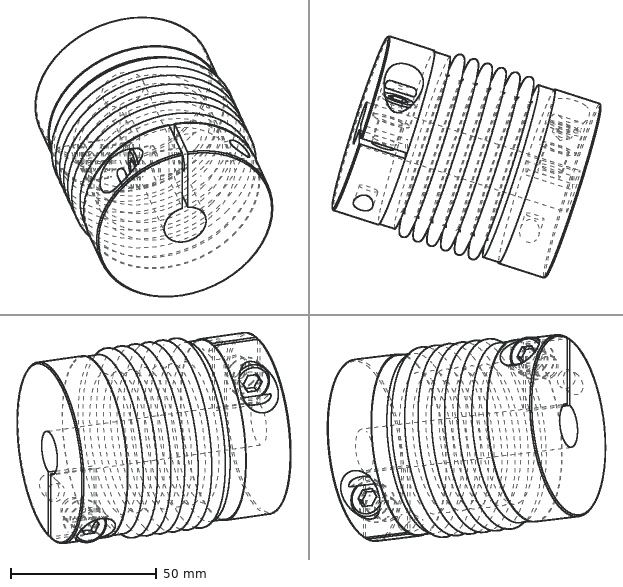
import cadquery as cq
import math

total_length = 77.0
bore_diameter = 15.0

hub_diameter = 63.0
hub_length = 16.7
hub_chamfer = 0.5
ring_diameter = 62.3

convolution_count = 6
convolution_diameter = 66.0
convolution_width = 3.0
root_diameter = 49.1
root_width = 2.0
bellows_length = convolution_count * convolution_width + (convolution_count + 1) * root_width

slot_width = 2.0
screw_end_distance = 8.5
screw_height = 22.0
head_diameter = 13.0
head_length = 8.0
head_chamfer = 0.8
head_face_y = -16.3
pocket_diameter = 13.5
shank_diameter = 8.0
shank_length = 25.0
clearance_diameter = 8.6
tapped_hole_diameter = 6.8

socket_across_flats = 6.0
socket_depth = 3.0
socket_cone_angle = 120.0

pin_diameter = 3.0
pin_y = -19.1
pin_z = 16.7

half_length = total_length / 2
hub_inner_x = half_length - hub_length
screw_x = half_length - screw_end_distance
seat_y = head_face_y + head_length
shank_end_y = seat_y + shank_length


def rod_y(diameter, start_y, end_y):
    """Cylinder on the screw axis between two Y positions."""
    return (
        cq.Workplane("XZ", origin=(screw_x, start_y, screw_height))
        .circle(diameter / 2)
        .extrude(start_y - end_y)
    )


def make_body():
    """Revolve the hubs, rings and bellows as one solid and bore it through."""
    hub_radius = hub_diameter / 2
    ring_radius = ring_diameter / 2
    crest_radius = convolution_diameter / 2
    root_radius = root_diameter / 2
    crest_arc = convolution_width / 2
    root_arc = root_width / 2
    x = -bellows_length / 2

    profile = (
        cq.Workplane("XY")
        .moveTo(-half_length, 0)
        .lineTo(-half_length, hub_radius - hub_chamfer)
        .lineTo(-half_length + hub_chamfer, hub_radius)
        .lineTo(-hub_inner_x, hub_radius)
        .lineTo(-hub_inner_x, ring_radius)
        .lineTo(x, ring_radius)
    )
    for index in range(convolution_count + 1):
        profile = profile.lineTo(x, root_radius + root_arc).threePointArc(
            (x + root_arc, root_radius), (x + root_width, root_radius + root_arc)
        )
        x += root_width
        if index < convolution_count:
            profile = profile.lineTo(x, crest_radius - crest_arc).threePointArc(
                (x + crest_arc, crest_radius), (x + convolution_width, crest_radius - crest_arc)
            )
            x += convolution_width
    profile = (
        profile.lineTo(x, ring_radius)
        .lineTo(hub_inner_x, ring_radius)
        .lineTo(hub_inner_x, hub_radius)
        .lineTo(half_length - hub_chamfer, hub_radius)
        .lineTo(half_length, hub_radius - hub_chamfer)
        .lineTo(half_length, 0)
        .close()
    )
    solid = profile.revolve(360, (0, 0, 0), (1, 0, 0))
    bore = cq.Workplane("YZ").circle(bore_diameter / 2).extrude(half_length, both=True)
    return solid.cut(bore)


def make_clamp_cuts():
    """Radial slot, head pocket, clearance hole and tapped hole of one hub."""
    slot = cq.Workplane("XY").box(
        hub_length, slot_width, hub_diameter, centered=(False, True, False)
    ).translate((hub_inner_x, 0, 0))
    pocket = rod_y(pocket_diameter, -hub_diameter / 2, seat_y)
    clearance = rod_y(clearance_diameter, seat_y, 0)
    tapped_hole = rod_y(tapped_hole_diameter, 0, hub_diameter / 2)
    return slot.union(pocket).union(clearance).union(tapped_hole)


def make_socket():
    """Hexagonal socket whose bottom is a drill cone as wide as the corners."""
    corner_radius = socket_across_flats / math.sqrt(3)
    cone_depth = corner_radius / math.tan(math.radians(socket_cone_angle / 2))
    hexagon = (
        cq.Workplane("XZ", origin=(screw_x, head_face_y, screw_height))
        .polygon(6, 2 * corner_radius)
        .extrude(-(socket_depth + cone_depth))
    )
    cone = cq.Workplane("XY").add(
        cq.Solid.makeCone(
            corner_radius,
            0,
            cone_depth,
            pnt=cq.Vector(screw_x, head_face_y + socket_depth, screw_height),
            dir=cq.Vector(0, 1, 0),
        )
    )
    prism = rod_y(2 * corner_radius, head_face_y, head_face_y + socket_depth)
    return hexagon.intersect(prism.union(cone))


def make_screw():
    """Cap screw with a chamfered head, seated on the pocket floor."""
    head = rod_y(head_diameter, head_face_y, seat_y).faces("<Y").chamfer(head_chamfer)
    shank = rod_y(shank_diameter, seat_y, shank_end_y)
    return head.union(shank).cut(make_socket())


def make_pin():
    """Retaining pin spanning the pocket, with both ends inside the hub."""
    return (
        cq.Workplane("YZ", origin=(screw_x, pin_y, pin_z))
        .circle(pin_diameter / 2)
        .extrude(pocket_diameter / 2, both=True)
    )


def opposite(shape):
    """Copy for the other hub: half a turn about the Y axis."""
    return shape.rotate((0, 0, 0), (0, 1, 0), 180)


clamp_cuts = make_clamp_cuts()
clamp_fittings = make_screw().union(make_pin())

result = make_body()
for place in (lambda shape: shape, opposite):
    result = result.cut(place(clamp_cuts)).union(place(clamp_fittings))